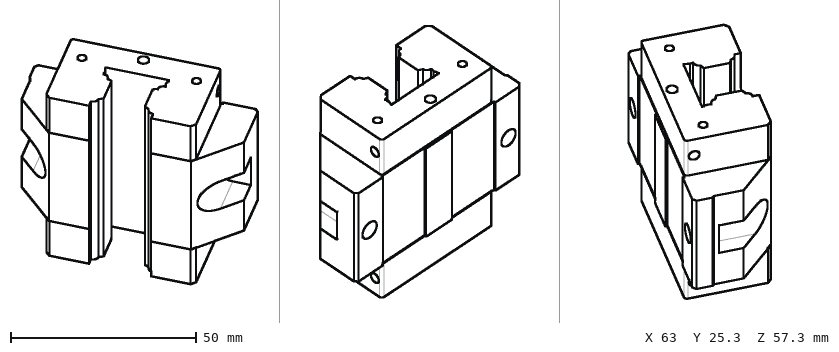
import cadquery as cq
import math


width = 63.0
height = 25.3
length = 57.3

block_length = 32.0
foot_width = 40.05
back_chamfer = 0.95
step_depth = 0.5
step_top = 19.85
pad_top_width = 9.8
pad_foot_width = 10.2
relief_depth = 0.5
relief_width = 42.85

cap_width = 42.2
cap_height = 24.65
cap_setback = 0.05
cap_chamfer = 1.2
cap_fillet = 0.9

slot_height = 16.2
slot_top_half = 9.0
slot_ridge_half = 8.55
slot_ridge_height = 14.5
slot_mouth_half = 8.75
jaw_half = 5.8
jaw_low = 4.05
jaw_high = 11.35
lip_half = 7.05
lip_rise = 0.6
shoulder_radius = 1.65
shoulder_drop = 1.5

mount_spacing = 52.8
mount_diameter = 5.4
spotface_width = 9.95
spotface_height = 17.9

lube_diameter = 3.0
lube_height = 22.0
lube_end_distance = 5.8
screw_diameter = 2.4
screw_spacing = 32.25
screw_height = 18.0
screw_depth = 5.05
drill_point_angle = 118.0


def extrude_centred(outline, depth):
    """Extrude a closed XY outline evenly to both sides of Z = 0."""
    return outline.close().extrude(depth / 2, both=True)


def make_block():
    half = width / 2
    foot_half = foot_width / 2
    relieved_half = half - step_depth
    relief_floor = height - relief_depth
    outline = cq.Workplane("XY").polyline([
        (-foot_half, 0),
        (foot_half, 0),
        (half, half - foot_half),
        (half, height - back_chamfer),
        (half - back_chamfer, height),
        (relief_width / 2, height),
        (relief_width / 2, relief_floor),
        (pad_foot_width / 2, relief_floor),
        (pad_top_width / 2, height),
        (-pad_top_width / 2, height),
        (-pad_foot_width / 2, relief_floor),
        (-relief_width / 2, relief_floor),
        (-relief_width / 2, height),
        (-half + back_chamfer, height),
        (-half, height - back_chamfer),
        (-half, step_top),
        (-relieved_half, step_top - step_depth),
        (-relieved_half, relieved_half - foot_half),
    ])
    return extrude_centred(outline, block_length)


def make_cap_bar():
    """One bar over the full length; its two ends form the end caps."""
    depth = cap_height - cap_setback
    bar = cq.Workplane("XY").box(cap_width, depth, length)
    bar = bar.translate((0, cap_setback + depth / 2, 0))
    bar = bar.edges("|Z and <Y").chamfer(cap_chamfer)
    return bar.edges("|Z and >Y").fillet(cap_fillet)


def half_slot(side):
    """Half of the rail slot, on the side given by the sign of X."""
    lip_low = jaw_low - lip_rise
    lip_high = jaw_high + lip_rise
    outline = (
        cq.Workplane("XY")
        .moveTo(0, 0)
        .lineTo(side * slot_mouth_half, 0)
        .lineTo(side * slot_mouth_half, lip_low - shoulder_drop)
        .radiusArc((side * lip_half, lip_low), side * shoulder_radius)
        .lineTo(side * jaw_half, jaw_low)
        .lineTo(side * jaw_half, jaw_high)
        .lineTo(side * lip_half, lip_high)
        .radiusArc((side * slot_mouth_half, lip_high + shoulder_drop), side * shoulder_radius)
        .lineTo(side * slot_ridge_half, slot_ridge_height)
        .lineTo(side * slot_top_half, slot_height)
        .lineTo(0, slot_height)
    )
    return extrude_centred(outline, length)


def mount_cutter(side):
    """Through hole with a spot face that runs out through the side and the flank."""
    x = side * mount_spacing / 2
    hole = cq.Workplane("XZ").center(x, 0).circle(mount_diameter / 2).extrude(-height)
    round_end = cq.Workplane("XZ").center(x, 0).circle(spotface_width / 2).extrude(-spotface_height)
    run_out = (
        cq.Workplane("XZ")
        .center(x + side * spotface_width / 2, 0)
        .rect(spotface_width, spotface_width)
        .extrude(-spotface_height)
    )
    return hole.union(round_end).union(run_out)


def screw_cutter(x, end):
    """Blind drilled hole with a conical bottom, entering at the given end."""
    radius = screw_diameter / 2
    tip = radius / math.tan(math.radians(drill_point_angle / 2))
    face = length / 2
    profile = cq.Workplane("XZ").polyline([
        (0, face),
        (radius, face),
        (radius, face - screw_depth),
        (0, face - screw_depth - tip),
    ]).close()
    drill = profile.revolve(360, (0, 0, 0), (0, 1, 0))
    if end < 0:
        drill = drill.mirror("XY")
    return drill.translate((x, screw_height, 0))


def lube_cutter(end):
    """Cross hole through the cap, fed by a hole from the cap end."""
    cross_z = end * (length / 2 - lube_end_distance)
    cross = (
        cq.Workplane("YZ")
        .center(lube_height, cross_z)
        .circle(lube_diameter / 2)
        .extrude(cap_width / 2, both=True)
    )
    feed = (
        cq.Workplane("XY", origin=(0, lube_height, cross_z))
        .circle(lube_diameter / 2)
        .extrude(end * lube_end_distance)
    )
    return cross.union(feed)


result = make_block().union(make_cap_bar())
for sign in (-1, 1):
    result = result.cut(half_slot(sign))
    result = result.cut(mount_cutter(sign))
    result = result.cut(lube_cutter(sign))
    for screw_side in (-1, 1):
        result = result.cut(screw_cutter(screw_side * screw_spacing / 2, sign))